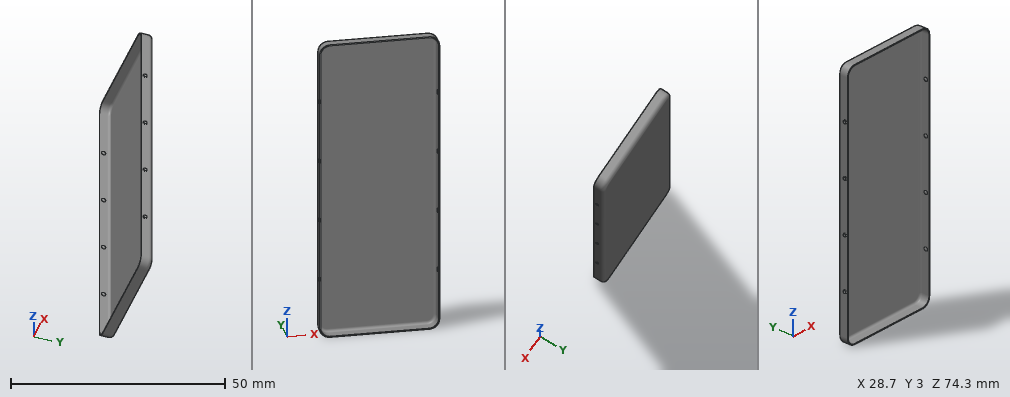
import cadquery as cq
import math

width = 28.7
depth = 3.0
height = 74.3

wall = 0.3
corner_radius = 2.5
back_radius = 1.0

dimple_diameter = 0.8
dimple_depth = 0.2
dimple_spacing = 15.0
dimple_count = 4
dimple_setback = 1.0

open_face_y = -depth / 2


def rounded_block(inset):
    """Rounded block reduced by inset on every face except the open one."""
    return (
        cq.Workplane("XZ", origin=(0, open_face_y, 0))
        .rect(width - 2 * inset, height - 2 * inset)
        .extrude(-(depth - inset))
        .edges("|Y")
        .fillet(corner_radius - inset)
        .faces(">Y")
        .edges()
        .fillet(back_radius - inset)
    )


def spherical_caps(radius, cap_height):
    """Caps standing on both outer side faces at the dimples, bulging inwards."""
    base_radius = math.sqrt(2 * radius * cap_height - cap_height**2)
    half_angle = math.asin(base_radius / radius)
    arc_middle = (
        cap_height - radius * (1 - math.cos(half_angle / 2)),
        radius * math.sin(half_angle / 2),
    )
    cap = (
        cq.Workplane("XY")
        .lineTo(cap_height, 0)
        .threePointArc(arc_middle, (0, base_radius))
        .close()
        .revolve(360, (0, 0), (1, 0))
        .translate((-width / 2, open_face_y + dimple_setback, 0))
    )
    row_length = (dimple_count - 1) * dimple_spacing
    caps = cq.Workplane("XY")
    for i in range(dimple_count):
        left_cap = cap.translate((0, 0, i * dimple_spacing - row_length / 2))
        caps = caps.add(left_cap).add(left_cap.mirror("YZ"))
    return caps.combine()


dimple_radius = ((dimple_diameter / 2) ** 2 + dimple_depth**2) / (2 * dimple_depth)
tray = rounded_block(0).cut(rounded_block(wall))
bumps = spherical_caps(dimple_radius + wall, dimple_depth + wall)
hollows = spherical_caps(dimple_radius, dimple_depth)
result = tray.union(bumps).cut(hollows)